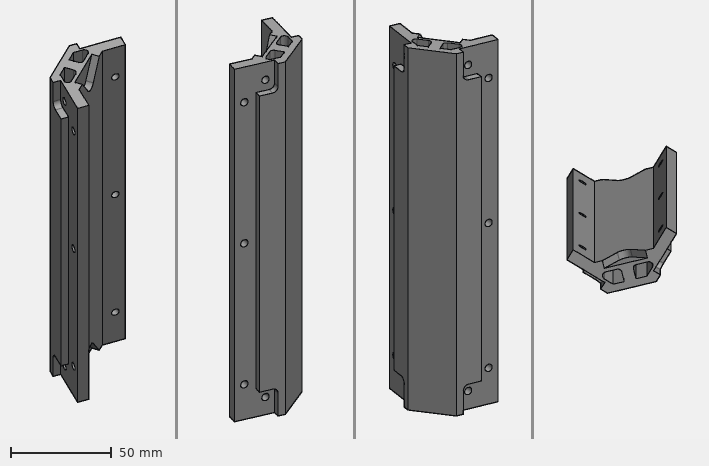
import cadquery as cq
import math

length = 200.0
leg_end = 43.5

plate_outer = 4.0
plate_thickness = 6.0
plate_inner = plate_outer + plate_thickness
raised_end = 31.8
chamfer_leg = 17.5
inner_bevel_sum = 41.2
inner_bevel_end = inner_bevel_sum - plate_inner

cavity_wall = 5.5
cavity_outer_sum = 23.0
cavity_inner_sum = 32.8
web_thickness = 6.0
cavity_fillet = 2.0

recess_start = 21.5
recess_height = 16.0
recess_fillet = 3.0

hole_diameter = 4.0
plate_hole_place = 38.2
plate_hole_end_gap = 20.0
blind_hole_place = 26.5
blind_hole_end_gap = 10.0
blind_hole_depth = 6.0

notch_half_width = 11.0
notch_slope = math.radians(56)
notch_radius = 4.0
notch_depth = 4.0


def mirrored(points):
    """Points reflected in the plane X = Y, in reverse order."""
    return [(y, x) for x, y in reversed(points)]


def make_body():
    """Solid profile extruded along Z."""
    half_outline = [
        (chamfer_leg, 0),
        (raised_end, 0),
        (raised_end, plate_outer),
        (leg_end, plate_outer),
        (leg_end, plate_inner),
        (inner_bevel_end, plate_inner),
    ]
    outline = half_outline + mirrored(half_outline)
    return cq.Workplane("XY").polyline(outline).close().extrude(length)


def make_cavity():
    """Cavity on the side of the X leg."""
    web_difference = web_thickness / math.sqrt(2)
    outer_leg = (cavity_outer_sum - cavity_wall, cavity_wall)
    inner_leg = (cavity_inner_sum - cavity_wall, cavity_wall)
    inner_web = ((cavity_inner_sum + web_difference) / 2, (cavity_inner_sum - web_difference) / 2)
    outer_web = ((cavity_outer_sum + web_difference) / 2, (cavity_outer_sum - web_difference) / 2)
    outline = [outer_leg, inner_leg, inner_web, outer_web]
    cavity = cq.Workplane("XY").polyline(outline).close().extrude(length)
    for x, y in (inner_leg, inner_web):
        corner_edge = cq.selectors.NearestToPointSelector((x, y, length / 2))
        cavity = cavity.edges("|Z").edges(corner_edge).fillet(cavity_fillet)
    return cavity


def make_recess():
    """Recess at the lower end of the X leg."""
    return (
        cq.Workplane("XY")
        .box(leg_end - recess_start, plate_outer, recess_height, centered=False)
        .translate((recess_start, 0, 0))
        .edges("|Y and <X and >Z")
        .fillet(recess_fillet)
    )


def make_hole(x, z, depth):
    """Hole drilled along Y from the outer face of the X leg plate."""
    start = cq.Vector(x, plate_outer, z)
    drill = cq.Solid.makeCylinder(hole_diameter / 2, depth, start, cq.Vector(0, 1, 0))
    return cq.Workplane(drill)


def make_notch():
    """V notch with a rounded root at the upper end of the inner bevel."""
    half_arc = notch_radius * math.sin(notch_slope)
    arc_end_z = -(notch_half_width - half_arc) * math.tan(notch_slope)
    root_z = arc_end_z - notch_radius * (1 - math.cos(notch_slope))
    middle = inner_bevel_sum / 2
    plane = cq.Plane(origin=(middle, middle, length), xDir=(1, -1, 0), normal=(-1, -1, 0))
    return (
        cq.Workplane(plane)
        .moveTo(-notch_half_width, 0)
        .lineTo(-half_arc, arc_end_z)
        .threePointArc((0, root_z), (half_arc, arc_end_z))
        .lineTo(notch_half_width, 0)
        .close()
        .extrude(notch_depth)
    )


def upside_down(tool):
    """The tool reflected in the plane halfway up the part."""
    return tool.mirror("XY", (0, 0, length / 2))


def swap_legs(tool):
    """The tool reflected in the plane X = Y."""
    return tool.rotate((0, 0, 0), (1, 1, 0), 180).mirror("XY")


leg_cuts = [make_cavity()]
leg_cuts += [make_recess(), upside_down(make_recess())]
for z in (plate_hole_end_gap, length / 2, length - plate_hole_end_gap):
    leg_cuts.append(make_hole(plate_hole_place, z, plate_thickness))
for z in (blind_hole_end_gap, length - blind_hole_end_gap):
    leg_cuts.append(make_hole(blind_hole_place, z, blind_hole_depth))

result = make_body()
for tool in leg_cuts:
    result = result.cut(tool).cut(swap_legs(tool))
result = result.cut(make_notch()).cut(upside_down(make_notch()))